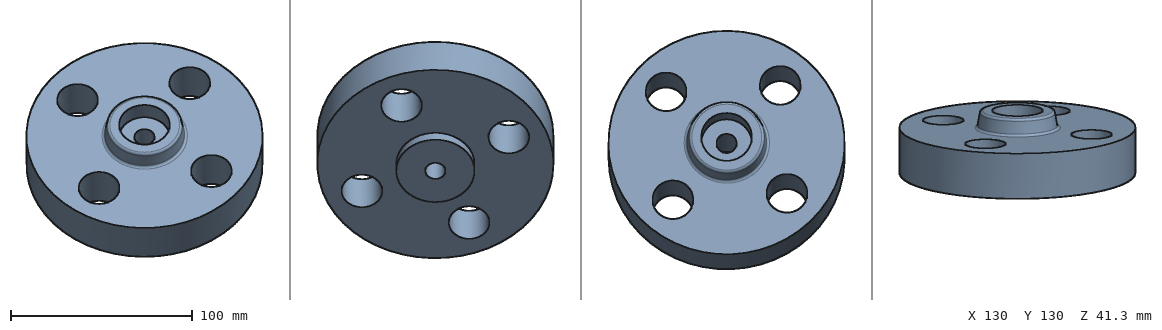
import cadquery as cq
import math

flange_diameter = 130.0
flange_thickness = 25.6

face_diameter = 43.0
face_height = 6.2

hub_base_diameter = 44.3
hub_height = 9.5
hub_taper_angle = 10.0
hub_rounding = 1.5

bore_diameter = 11.0
socket_diameter = 27.8
socket_depth = 10.9

bolt_hole_diameter = 22.4
bolt_circle_diameter = 88.9
bolt_count = 4

flange_bottom = face_height
flange_top = flange_bottom + flange_thickness
hub_top = flange_top + hub_height


def make_disc(diameter, bottom, top):
    """Cylinder about the Z axis between two levels."""
    return cq.Workplane("XY").workplane(offset=bottom).circle(diameter / 2).extrude(top - bottom)


def make_body():
    """Sealing face, flange disc and tapered hub with rounded foot and rim."""
    hub_base_radius = hub_base_diameter / 2
    hub_rim_radius = hub_base_radius - hub_height * math.tan(math.radians(hub_taper_angle))
    hub = (
        cq.Workplane("XZ")
        .moveTo(0, flange_top)
        .lineTo(hub_base_radius, flange_top)
        .lineTo(hub_rim_radius, hub_top)
        .lineTo(0, hub_top)
        .close()
        .revolve(360, (0, 0, 0), (0, 1, 0))
    )
    sealing_face = make_disc(face_diameter, 0, flange_bottom)
    flange = make_disc(flange_diameter, flange_bottom, flange_top)
    body = sealing_face.union(flange).union(hub)

    return body.faces("%CONE").edges("%CIRCLE").fillet(hub_rounding)


def make_bore():
    """Through bore opening into a wider socket at the hub end."""
    bore = make_disc(bore_diameter, 0, hub_top)
    socket = make_disc(socket_diameter, hub_top - socket_depth, hub_top)
    return bore.union(socket)


def make_bolt_holes():
    """Holes through the disc, the first one on the X axis."""
    return (
        cq.Workplane("XY")
        .workplane(offset=flange_bottom)
        .polarArray(bolt_circle_diameter / 2, 0, 360, bolt_count)
        .circle(bolt_hole_diameter / 2)
        .extrude(flange_thickness)
    )


result = make_body().cut(make_bore()).cut(make_bolt_holes())